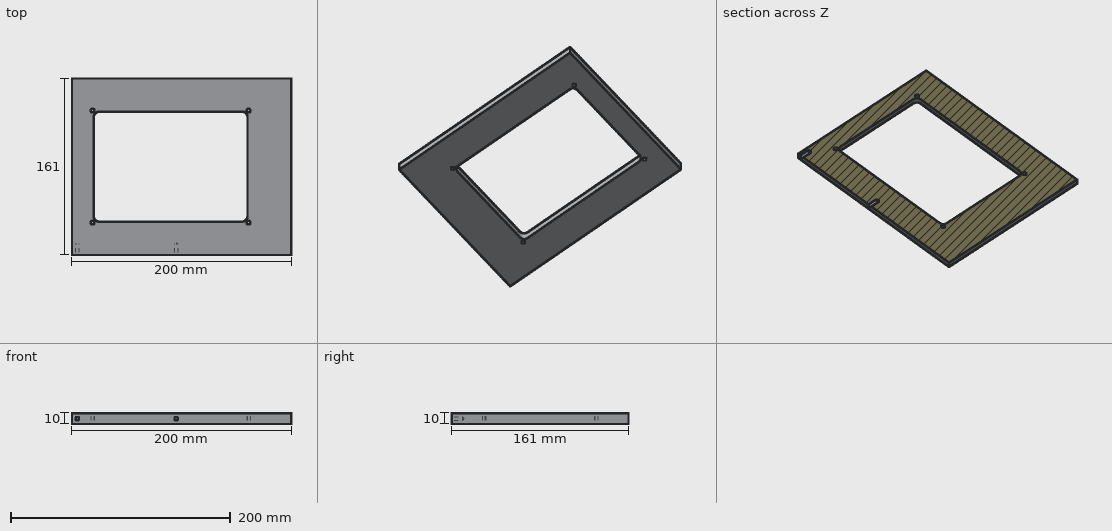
import cadquery as cq
import math

plate_length = 200.0
plate_width = 161.0
plate_thickness = 10.0

window_length = 140.0
window_width = 100.0
window_corner_radius = 5.0
window_left_margin = 20.0
window_center_x = window_left_margin + window_length / 2
window_center_y = plate_width / 2

hole_diameter = 3.3

corner_hole_offset = 1.0
corner_hole_spacing_x = window_length + 2 * corner_hole_offset
corner_hole_spacing_y = window_width + 2 * corner_hole_offset

edge_hole_depth = 10.0
edge_hole_positions_x = (5.0, 95.0)
drill_point_angle = 118.0
drill_point_length = hole_diameter / 2 / math.tan(math.radians(drill_point_angle / 2))


def make_plate():
    """Flat plate with its lower front-left corner at the origin."""
    return cq.Workplane("XY").box(plate_length, plate_width, plate_thickness, centered=False)


def make_window():
    """Cutter for the rounded rectangular opening."""
    return (
        cq.Workplane("XY")
        .center(window_center_x, window_center_y)
        .rect(window_length, window_width)
        .extrude(plate_thickness)
        .edges("|Z")
        .fillet(window_corner_radius)
    )


def make_corner_holes():
    """Cutters for the four vertical holes around the window."""
    return (
        cq.Workplane("XY")
        .center(window_center_x, window_center_y)
        .rect(corner_hole_spacing_x, corner_hole_spacing_y, forConstruction=True)
        .vertices()
        .circle(hole_diameter / 2)
        .extrude(plate_thickness)
    )


def make_edge_hole(center_x):
    """Cutter for one blind hole along +Y: a cylinder ending in a drill point."""
    profile = (
        cq.Workplane("XY")
        .moveTo(0, 0)
        .lineTo(hole_diameter / 2, 0)
        .lineTo(hole_diameter / 2, edge_hole_depth)
        .lineTo(0, edge_hole_depth + drill_point_length)
        .close()
    )
    drill = profile.revolve(360, (0, 0, 0), (0, 1, 0))
    return drill.translate((center_x, 0, plate_thickness / 2))


result = make_plate().cut(make_window()).cut(make_corner_holes())
for hole_x in edge_hole_positions_x:
    result = result.cut(make_edge_hole(hole_x))